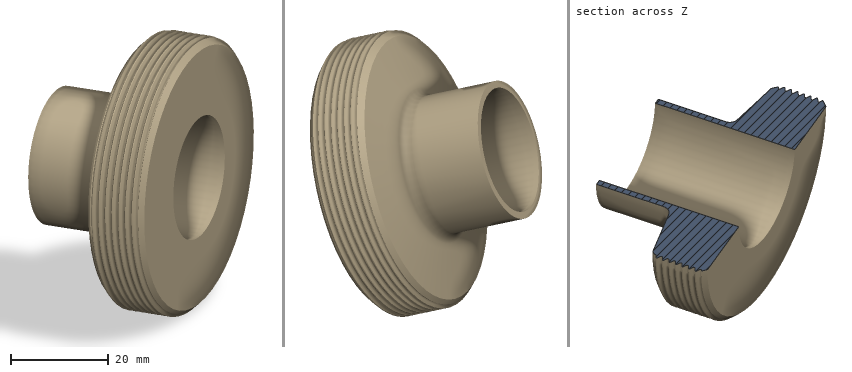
import cadquery as cq
import math

total_length = 32.0
rim_start = 19.4

bore_radius = 13.0
neck_radius = 14.5
rim_edge_radius = 27.7
crest_radius = 29.2

cone_angle = math.radians(10)
neck_fillet = 2.0

threaded_length = 9.0
thread_count = 6
pitch = threaded_length / thread_count
thread_depth = 0.9
crest_flat = 0.25
root_flat = 0.3
groove_start = 19.1
groove_end = total_length + pitch
cutter_overlap = 0.1


def flange_body():
    """Neck, fillet, conical flange and chamfered rim, revolved about Z."""
    chamfer = crest_radius - rim_edge_radius
    fillet_end_radius = neck_radius + neck_fillet * (1 - math.sin(cone_angle))
    fillet_end = rim_start - (rim_edge_radius - fillet_end_radius) * math.tan(cone_angle)
    fillet_start = fillet_end - neck_fillet * math.cos(cone_angle)
    profile = (
        cq.Workplane("XZ")
        .moveTo(bore_radius, 0)
        .lineTo(neck_radius, 0)
        .lineTo(neck_radius, fillet_start)
        .tangentArcPoint((fillet_end_radius, fillet_end), relative=False)
        .lineTo(rim_edge_radius, rim_start)
        .lineTo(crest_radius, rim_start + chamfer)
        .lineTo(crest_radius, total_length - chamfer)
        .lineTo(rim_edge_radius, total_length)
        .lineTo(bore_radius, total_length)
        .close()
    )
    return profile.revolve(360, (0, 0, 0), (0, 1, 0))


def thread_groove():
    """Flat-bottomed V helical cutter that runs out through both rim chamfers."""
    root_radius = crest_radius - thread_depth
    half_root = root_flat / 2
    half_mouth = (pitch - crest_flat) / 2
    flank_slope = (half_mouth - half_root) / thread_depth
    outer_radius = crest_radius + cutter_overlap
    half_outer = half_mouth + flank_slope * cutter_overlap
    helix = cq.Wire.makeHelix(
        pitch, groove_end - groove_start, root_radius, center=cq.Vector(0, 0, groove_start)
    )
    section = (
        cq.Workplane("XZ")
        .moveTo(root_radius, groove_start - half_root)
        .lineTo(outer_radius, groove_start - half_outer)
        .lineTo(outer_radius, groove_start + half_outer)
        .lineTo(root_radius, groove_start + half_root)
        .close()
    )
    return section.sweep(cq.Workplane(obj=helix), isFrenet=True)


def threaded_bar():
    """Solid bar at crest size, long enough that the groove ends inside it."""
    bar_length = groove_end + pitch
    return cq.Workplane("XY").circle(crest_radius).extrude(bar_length).cut(thread_groove())


result = flange_body().intersect(threaded_bar()).rotate((0, 0, 0), (0, 1, 0), 90)